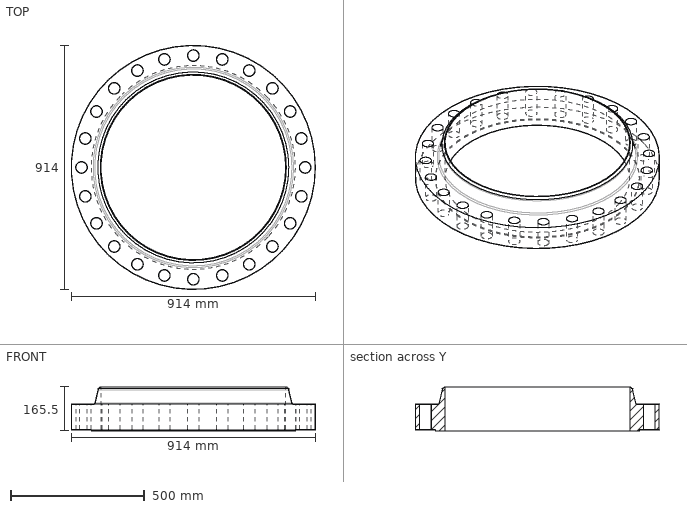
import cadquery as cq
import math

flange_radius = 457.0
flange_thickness = 96.0
bore_radius = 346.0

raised_face_radius = 382.0
raised_face_height = 5.0

total_height = 165.5
pipe_radius = 357.0
hub_base_radius = 370.0
hub_fillet_radius = 6.0
weld_cylinder_height = 5.5
weld_bevel_angle = 37.5
weld_land_width = 3.0

bolt_count = 24
bolt_circle_radius = 419.0
bolt_hole_diameter = 42.0

flange_bottom = raised_face_height
flange_top = flange_bottom + flange_thickness
bevel_width = pipe_radius - bore_radius - weld_land_width
bevel_height = bevel_width * math.tan(math.radians(weld_bevel_angle))
bevel_bottom = total_height - bevel_height
taper_top = bevel_bottom - weld_cylinder_height


def flange_body():
    """Revolve the half section of the welding neck flange and round the hub root."""
    section = (
        cq.Workplane("XZ")
        .moveTo(bore_radius, 0)
        .lineTo(raised_face_radius, 0)
        .lineTo(raised_face_radius, flange_bottom)
        .lineTo(flange_radius, flange_bottom)
        .lineTo(flange_radius, flange_top)
        .lineTo(hub_base_radius, flange_top)
        .lineTo(pipe_radius, taper_top)
        .lineTo(pipe_radius, bevel_bottom)
        .lineTo(bore_radius + weld_land_width, total_height)
        .lineTo(bore_radius, total_height)
        .close()
    )
    body = section.revolve(360, (0, 0, 0), (0, 1, 0))
    hub_root = cq.selectors.RadiusNthSelector(-3)
    return body.edges("%CIRCLE").edges(hub_root).fillet(hub_fillet_radius)


def bolt_holes():
    """Through-hole cutters spaced evenly on the bolt circle."""
    return (
        cq.Workplane("XY")
        .polarArray(bolt_circle_radius, 0, 360, bolt_count)
        .circle(bolt_hole_diameter / 2)
        .extrude(total_height)
    )


result = flange_body().cut(bolt_holes())